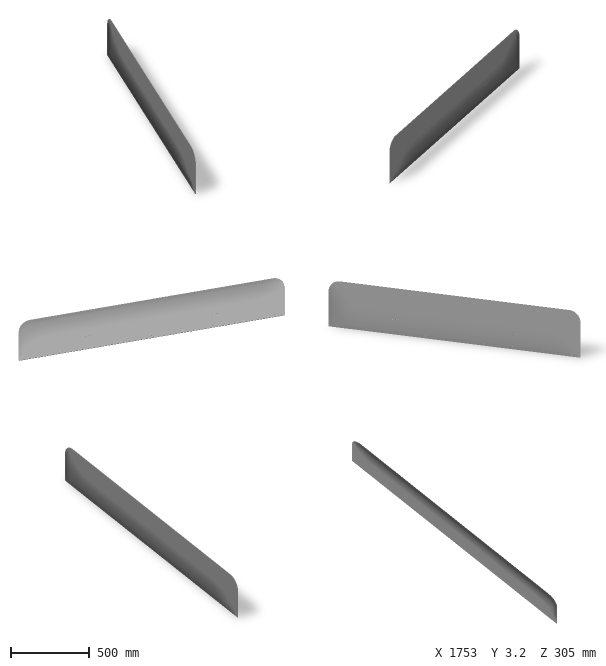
import cadquery as cq

length = 1753
height = 305.0
thickness = 3.2
corner_radius = 77.0

hole_diameter = 4.9
edge_hole_count = 9
edge_hole_pitch = 203.0
edge_hole_height = 15.0
pair_hole_height = 100.0
pair_hole_spacing = 26.0
pair_inner_offset = 2 * edge_hole_pitch


def panel():
    """Upright sheet centred on X and Y, standing on Z = 0, with rounded top corners."""
    sheet = cq.Workplane("XY").box(length, thickness, height, centered=(True, True, False))
    return sheet.edges("|Y and >Z").fillet(corner_radius)


def edge_hole_points():
    """Evenly spaced row along the bottom edge."""
    first_x = -edge_hole_pitch * (edge_hole_count - 1) / 2
    return [(first_x + i * edge_hole_pitch, edge_hole_height) for i in range(edge_hole_count)]


def pair_hole_points():
    """Two mirrored pairs above the bottom row."""
    offsets = (pair_inner_offset, pair_inner_offset + pair_hole_spacing)
    return [(side * x, pair_hole_height) for side in (-1, 1) for x in offsets]


hole_cutters = (
    cq.Workplane("XZ")
    .pushPoints(edge_hole_points() + pair_hole_points())
    .circle(hole_diameter / 2)
    .extrude(thickness, both=True)
)

result = panel().cut(hole_cutters)